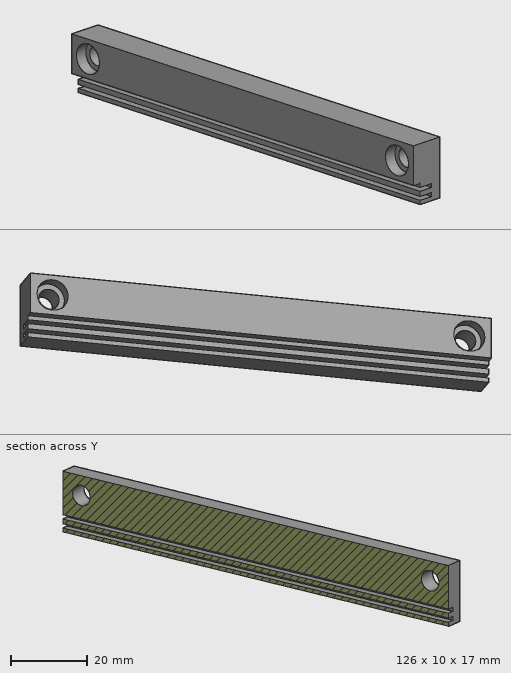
import cadquery as cq

length = 126.0
depth = 10.0
height = 17.0

rebate_depth = 2.5
rebate_height = 5.9

groove_depth = 4.3
groove_width = 1.07
first_groove_bottom = 1.2
groove_pitch = 2.5
groove_count = 2

hole_diameter = 5.5
counterbore_diameter = 8.5
counterbore_depth = 3.5
hole_from_end = 6.0
hole_from_top = 5.5


def front_strip(strip_depth, bottom, strip_height):
    """Full-length block that starts at the front face and reaches strip_depth into the bar."""
    strip = cq.Workplane("XY").box(length, strip_depth, strip_height, centered=(True, False, False))
    return strip.translate((0, 0, bottom))


bar = front_strip(depth, 0, height)
bar = bar.cut(front_strip(rebate_depth, 0, rebate_height))

for index in range(groove_count):
    groove_bottom = first_groove_bottom + index * groove_pitch
    bar = bar.cut(front_strip(rebate_depth + groove_depth, groove_bottom, groove_width))

hole_x = length / 2 - hole_from_end
hole_z = height - hole_from_top
result = (
    cq.Workplane(bar.val())
    .copyWorkplane(cq.Workplane("XZ"))
    .pushPoints([(-hole_x, hole_z), (hole_x, hole_z)])
    .cboreHole(hole_diameter, counterbore_diameter, counterbore_depth)
)